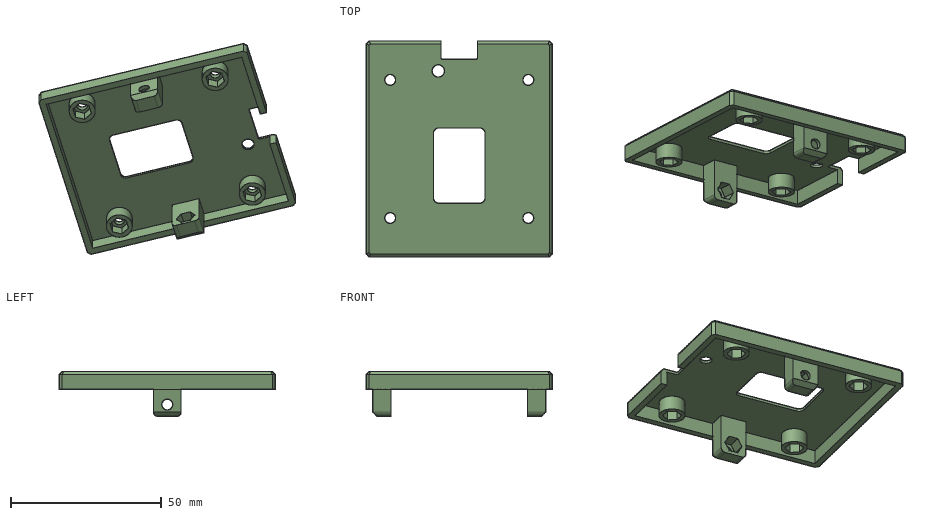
import cadquery as cq
import math

width = 62.0
length = 72.0
total_height = 15.0
tray_height = 6.0
wall = 2.15
skin = 1.0
edge_chamfer = 1.0

window_width = 17.1
window_length = 25.0
window_center_y = -5.55
window_radius = 1.7
notch_width = 12.0
notch_depth = 6.1
notch_radius = 0.5

screw_diameter = 3.5
nut_across_flats = 5.5
nut_across_corners = nut_across_flats / math.cos(math.pi / 6)
mount_spacing = 46.0
mount_screw_length = 2.0
boss_diameter = 8.65
small_hole_diameter = 4.0
small_hole_x = -7.0
small_hole_y = 26.0

ear_thickness = 6.1
ear_length = 9.3
ear_drop = total_height - tray_height
ear_tip = 1.5
ear_hole_drop = 5.05
ear_screw_length = 1.3


def make_tray():
    outer = cq.Workplane("XY").box(width, length, tray_height, centered=(True, True, False))
    outer = outer.edges("|Z").chamfer(edge_chamfer)
    outer = outer.faces(">Z").edges().chamfer(edge_chamfer)
    cavity = cq.Workplane("XY").box(
        width - 2 * wall, length - 2 * wall, tray_height - skin, centered=(True, True, False)
    )
    return outer.cut(cavity)


def make_ear():
    """Ear on the -X side, with a nut pocket opening toward the middle of the tray."""
    outer_x = wall - width / 2
    inner_x = outer_x + ear_thickness
    ear = (
        cq.Workplane("XY", origin=(outer_x + ear_thickness / 2, 0, -ear_drop))
        .box(ear_thickness, ear_length, total_height - skin, centered=(True, True, False))
    )
    ear = ear.faces("<Z").edges("|X").fillet(ear_tip)
    tip_corner = (
        cq.Workplane("XZ", origin=(outer_x, 0, -ear_drop))
        .polyline([(0, 0), (ear_tip, 0), (0, ear_tip)])
        .close()
        .extrude(ear_length / 2, both=True)
    )
    screw_hole = (
        cq.Workplane("YZ", origin=(outer_x, 0, -ear_hole_drop))
        .circle(screw_diameter / 2)
        .extrude(ear_thickness)
    )
    nut_pocket = (
        cq.Workplane("YZ", origin=(inner_x, 0, -ear_hole_drop))
        .polygon(6, nut_across_corners)
        .extrude(ear_screw_length - ear_thickness)
    )
    return ear.cut(tip_corner).cut(screw_hole).cut(nut_pocket)


def mount_points():
    return cq.Workplane("XY").rect(mount_spacing, mount_spacing, forConstruction=True).vertices()


def cut_mounts(body):
    screw_holes = mount_points().circle(screw_diameter / 2).extrude(tray_height)
    nut_pockets = mount_points().polygon(6, nut_across_corners).extrude(tray_height - mount_screw_length)
    return body.cut(screw_holes).cut(nut_pockets)


def cut_openings(body):
    window = (
        cq.Workplane("XY")
        .center(0, window_center_y)
        .rect(window_width, window_length)
        .extrude(tray_height)
        .edges("|Z")
        .fillet(window_radius)
    )
    notch = (
        cq.Workplane("XY")
        .center(0, length / 2 - notch_depth / 2)
        .rect(notch_width, notch_depth)
        .extrude(tray_height)
        .edges("|Z and <Y")
        .fillet(notch_radius)
    )
    small_hole = (
        cq.Workplane("XY")
        .center(small_hole_x, small_hole_y)
        .circle(small_hole_diameter / 2)
        .extrude(tray_height)
    )
    return body.cut(window).cut(notch).cut(small_hole)


left_ear = make_ear()
right_ear = left_ear.mirror("YZ")
bosses = mount_points().circle(boss_diameter / 2).extrude(tray_height - skin)

result = make_tray().union(bosses).union(left_ear).union(right_ear)
result = cut_openings(cut_mounts(result))